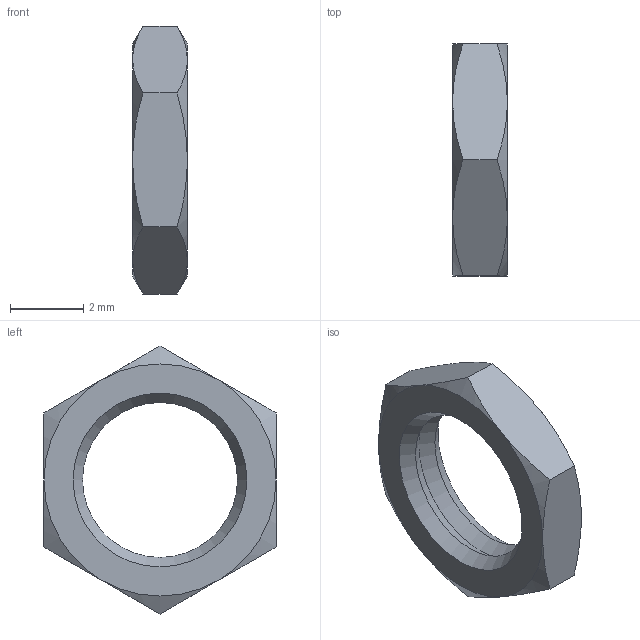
import cadquery as cq
import math

across_flats = 6.35
thickness = 1.5
hexagon_sides = 6
thread_minor_diameter = 4.24
thread_major_diameter = 4.75
thread_rings = 2
corner_chamfer_angle = 30.0

across_corners = across_flats / math.cos(math.pi / hexagon_sides)
flat_radius = across_flats / 2
corner_radius = across_corners / 2
thread_minor_radius = thread_minor_diameter / 2
thread_major_radius = thread_major_diameter / 2
thread_pitch = thickness / thread_rings
half_thickness = thickness / 2


def revolved_about_x(profile_points):
    """Solid of revolution about X from (axial, radial) profile points."""
    profile = cq.Workplane("XY").polyline(profile_points).close()
    return profile.revolve(360, (0, 0, 0), (1, 0, 0))


def hexagon_blank():
    """Hexagonal prism centred on the origin, flats facing +Y and -Y."""
    corners = []
    for index in range(hexagon_sides):
        angle = math.pi / 2 + 2 * math.pi * index / hexagon_sides
        corners.append((corner_radius * math.cos(angle), corner_radius * math.sin(angle)))
    return cq.Workplane("YZ").polyline(corners).close().extrude(half_thickness, both=True)


def chamfer_envelope():
    """Double-coned disc that bevels the hexagon corners at both end faces."""
    bevel_depth = (corner_radius - flat_radius) * math.tan(math.radians(corner_chamfer_angle))
    rim = half_thickness - bevel_depth
    return revolved_about_x([
        (-half_thickness, 0),
        (-half_thickness, flat_radius),
        (-rim, corner_radius),
        (rim, corner_radius),
        (half_thickness, flat_radius),
        (half_thickness, 0),
    ])


def threaded_bore():
    """Through bore of V-shaped rings standing for the thread, open at its major diameter on both ends."""
    profile = [(-half_thickness, 0)]
    for ring in range(thread_rings):
        root = -half_thickness + ring * thread_pitch
        profile.append((root, thread_major_radius))
        profile.append((root + thread_pitch / 2, thread_minor_radius))
    profile.append((half_thickness, thread_major_radius))
    profile.append((half_thickness, 0))
    return revolved_about_x(profile)


result = hexagon_blank().intersect(chamfer_envelope()).cut(threaded_bore())